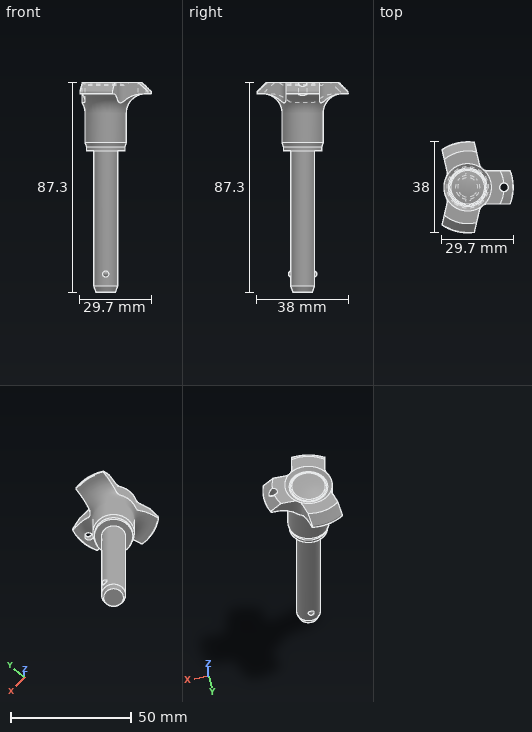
import cadquery as cq
import math

total_height = 87.3

shank_diameter = 10.0
shank_radius = shank_diameter / 2
tip_radius = 4.1
tip_height = 2.5
ball_radius = 1.3
ball_height = 7.6
ball_offset = 4.6

sleeve_radius = 8.6
collar_radius = 8.0
sleeve_bottom = 58.8
collar_top = 60.4
taper_top = 62.25

handle_diameter = 38.0
handle_radius = handle_diameter / 2
flare_radius = 7.9
flare_start = 74.6
handle_underside = flare_start + flare_radius
rim_height = 1.0
rim_rounding = 0.3
hub_radius = 9.95
lobe_width = 13.9
lobe_angles = (0, 103, -103)
blend_radius = 3.5
lanyard_hole_radius = 1.75
lanyard_hole_offset = 15.1

dish_top_radius = 9.9
dish_floor_radius = 8.0
dish_depth = 1.2
button_radius = 7.5
button_face_radius = 7.0
button_chamfer_height = 0.35
button_crown = 0.8


def make_pin():
    """Shank with a tapered tip, running up into the sleeve."""
    return (
        cq.Workplane("XZ")
        .lineTo(tip_radius, 0)
        .lineTo(shank_radius, tip_height)
        .lineTo(shank_radius, taper_top)
        .lineTo(0, taper_top)
        .close()
        .revolve(360, (0, 0), (0, 1))
    )


def make_balls():
    """Two locking balls, on opposite sides of the shank along Y."""
    return (
        cq.Workplane("XY", origin=(0, 0, ball_height))
        .pushPoints([(0, ball_offset), (0, -ball_offset)])
        .sphere(ball_radius)
    )


def make_handle_body():
    """Round sleeve flaring out to the handle, with a 45 degree slope on the top edge."""
    rim_top = handle_underside + rim_height
    slope_run = total_height - rim_top
    flare_center_radius = sleeve_radius + flare_radius
    flare_mid = (
        flare_center_radius - flare_radius * math.cos(math.pi / 4),
        flare_start + flare_radius * math.sin(math.pi / 4),
    )
    body = (
        cq.Workplane("XZ")
        .moveTo(0, sleeve_bottom)
        .lineTo(collar_radius, sleeve_bottom)
        .lineTo(collar_radius, collar_top)
        .lineTo(sleeve_radius, taper_top)
        .lineTo(sleeve_radius, flare_start)
        .threePointArc(flare_mid, (flare_center_radius, handle_underside))
        .lineTo(handle_radius, handle_underside)
        .lineTo(handle_radius, rim_top)
        .lineTo(handle_radius - slope_run, total_height)
        .lineTo(0, total_height)
        .close()
        .revolve(360, (0, 0), (0, 1))
    )
    rim_edges = cq.selectors.BoxSelector(
        (-handle_radius, -handle_radius, handle_underside - rim_rounding),
        (handle_radius, handle_radius, rim_top + rim_rounding),
    )
    outer_edges = cq.selectors.RadiusNthSelector(-1)
    return body.edges(rim_edges).edges(outer_edges).fillet(rim_rounding)


def blend_upright_corners(prism, x_min, x_max):
    """Round the upright edges near the hub that lie between two X positions."""
    near_hub = cq.selectors.BoxSelector(
        (x_min, -hub_radius, sleeve_bottom),
        (x_max, hub_radius, total_height),
    )
    return prism.edges("|Z").edges(near_hub).fillet(blend_radius)


def make_lobe_envelope():
    """Upright prism of three lobes and a hub closing the wide gap on the -X side."""
    height = total_height - sleeve_bottom
    base = cq.Workplane("XY", origin=(0, 0, sleeve_bottom))
    lobe_length = 1.5 * handle_radius
    lobe = base.rect(lobe_length, lobe_width).extrude(height).translate((lobe_length / 2, 0, 0))
    envelope = base.circle(lobe_width / 2).extrude(height)
    for angle in lobe_angles:
        envelope = envelope.union(lobe.rotate((0, 0, 0), (0, 0, 1), angle))
    envelope = blend_upright_corners(envelope, 0, hub_radius)

    hub_half = (
        base.moveTo(0, hub_radius)
        .threePointArc((-hub_radius, 0), (0, -hub_radius))
        .close()
        .extrude(height)
    )
    return blend_upright_corners(envelope.union(hub_half), -hub_radius, -lobe_width / 4)


def make_dish():
    """Conical recess in the top of the handle."""
    return (
        cq.Workplane("XY", origin=(0, 0, total_height))
        .circle(dish_top_radius)
        .workplane(offset=-dish_depth)
        .circle(dish_floor_radius)
        .loft(ruled=True)
    )


def make_button():
    """Slightly domed, chamfered push button standing on the dish floor."""
    floor = total_height - dish_depth
    face_edge = floor + button_chamfer_height
    crown_top = face_edge + button_crown
    dome_radius = (button_face_radius**2 + button_crown**2) / (2 * button_crown)
    mid_radius = button_face_radius / 2
    mid_height = crown_top - dome_radius + math.sqrt(dome_radius**2 - mid_radius**2)
    return (
        cq.Workplane("XZ")
        .moveTo(0, floor)
        .lineTo(button_radius, floor)
        .lineTo(button_face_radius, face_edge)
        .threePointArc((mid_radius, mid_height), (0, crown_top))
        .close()
        .revolve(360, (0, 0), (0, 1))
    )


lanyard_hole = (
    cq.Workplane("XY", origin=(lanyard_hole_offset, 0, sleeve_bottom))
    .circle(lanyard_hole_radius)
    .extrude(total_height - sleeve_bottom)
)

handle = make_handle_body().intersect(make_lobe_envelope())
handle = handle.cut(make_dish()).union(make_button()).cut(lanyard_hole)
result = handle.union(make_pin()).union(make_balls())